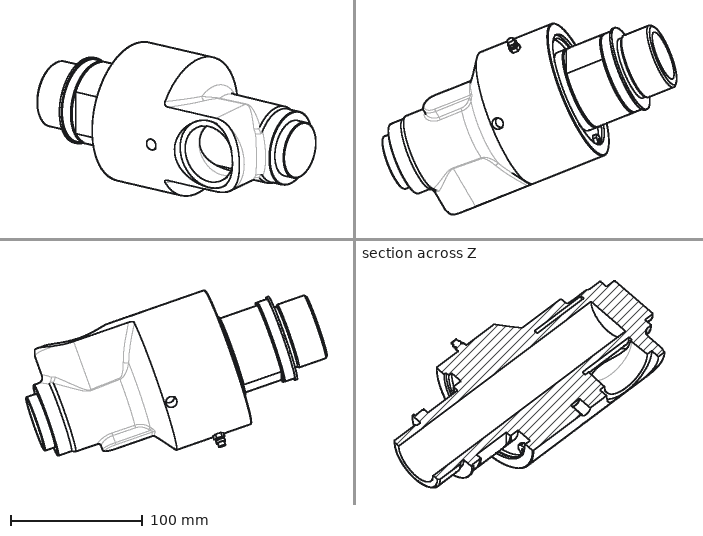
import cadquery as cq
import math

THREAD_DIA = 50.8
THREAD_END = 24.4
THREAD_CHAMFER = 1.5
NECK_DIA = 48.4
FLANGE_DIA = 66.7
FLANGE_START = 27.2
FLANGE_END = 29.0
ROTOR_DIA = 64.0
ROTOR_GROOVES = (37.4, 68.9)
GROOVE_DEPTH = 0.7
FLAT_START = 38.0
FLAT_END = 68.5
FLAT_WIDTH = 54.5
BORE_DIA = 38.1
BORE_DEPTH = 200.0

BODY_DIA = 108.0
BODY_START = 71.4
BODY_END = 131.8
BODY_CHAMFER = 0.6
CONE_SLOPE = math.radians(52.2)
BARREL_START = 156.6
BARREL_START_RADIUS = 30.3
BARREL_END = 204.6
BARREL_END_RADIUS = 29.9
COLLAR_START = 207.5
COLLAR_DIA = 57.2
COLLAR_END = 218.5
COLLAR_CHAMFER = 0.5
CAP_DIA = 43.26
CAP_CHAMFER = 0.6
TOTAL_LENGTH = 226.91

RECESS_DIA = 90.07
RECESS_DEPTH = 5.0
RING_DEPTH = 2.0
RING_INNER_DIA = 87.0
LUG_SIZE = 10.8
LUG_OFFSET_Y = 40.9
LUG_OFFSET_Z = 14.5
LUG_HOLE_DIA = 3.5
LUG_SIDES = 8

BOSS_X = 180.0
BOSS_RADIUS = 29.6
BOSS_FILLET = 5.0
BOSS_RELIEF_ANGLE = 18.0
PORT_X = 175.0
PORT_DIA = 43.26
PORT_MOUTH_DIA = 44.4
THREAD_FLOOR_Y = -29.4
SEAT_DIA = 53.7
SEAT_DEPTH = 7.5
CHAMBER_START = 150.0
CHAMBER_END = 198.0
CHAMBER_DIA = 56.25
CORE_DIA = 50.75

PAD_TOP = 36.9
PAD_RADIUS = 10.4
PAD_START = 140.0
PAD_ROOT_FILLET = 2.0
PAD_EDGE_FILLET = 1.4
SELECTION_MARGIN = 1.0

WEEP_X = 126.6
WEEP_DIA = 8.6
WEEP_DEPTH = 12.0
WEEP_COUNT = 3
NIPPLE_X = 98.5
NIPPLE_TIP = 63.41
NIPPLE_HEX = 8.6
NIPPLE_HEX_TOP = 57.0
NIPPLE_DIA = 5.36
NIPPLE_COLLAR_DIA = 7.0
NIPPLE_COLLAR_START = 58.2
NIPPLE_COLLAR_END = 60.4
NIPPLE_ROOT = 50.0


def x_cylinder(diameter, start, end):
    """Cylinder along the rotor axis between two X positions."""
    return cq.Workplane("YZ").workplane(offset=start).circle(diameter / 2).extrude(end - start)


def y_cylinder(diameter, x, start, end):
    """Cylinder along Y at the given X, between two Y positions."""
    plane = cq.Plane(origin=(x, start, 0), xDir=(1, 0, 0), normal=(0, 1, 0))
    return cq.Workplane(plane).circle(diameter / 2).extrude(end - start)


def flat_sided_prism(start, radius, end_x, depth):
    """Slab along X with one round end, reaching the given depth toward -Y (or +Y if negative)."""
    return (
        cq.Workplane("XZ")
        .moveTo(start, radius)
        .lineTo(end_x, radius)
        .threePointArc((end_x + radius, 0), (end_x, -radius))
        .lineTo(start, -radius)
        .close()
        .extrude(depth)
    )


def rotor():
    """Threaded nose, flange and wrench section."""
    thread = x_cylinder(THREAD_DIA, 0, THREAD_END).edges().chamfer(THREAD_CHAMFER)
    neck = x_cylinder(NECK_DIA, THREAD_END - THREAD_CHAMFER, FLANGE_START)
    flange = x_cylinder(FLANGE_DIA, FLANGE_START, FLANGE_END)
    shaft = x_cylinder(ROTOR_DIA, FLANGE_END, BODY_START + RECESS_DEPTH)
    for x in ROTOR_GROOVES:
        groove = (
            cq.Workplane("XY")
            .moveTo(x - GROOVE_DEPTH, ROTOR_DIA / 2)
            .lineTo(x, ROTOR_DIA / 2 - GROOVE_DEPTH)
            .lineTo(x + GROOVE_DEPTH, ROTOR_DIA / 2)
            .close()
            .revolve(360, (0, 0, 0), (1, 0, 0))
        )
        shaft = shaft.cut(groove)
    flat_length = FLAT_END - FLAT_START
    flat_x = (FLAT_START + FLAT_END) / 2
    cut_depth = (ROTOR_DIA - FLAT_WIDTH) / 2
    for side in (1, -1):
        flat_y = side * (FLAT_WIDTH + cut_depth) / 2
        flat = cq.Workplane("XY").box(flat_length, cut_depth, ROTOR_DIA).translate((flat_x, flat_y, 0))
        shaft = shaft.cut(flat)
    return thread.union(neck).union(flange).union(shaft)


def housing():
    """Turned housing: the cone runs into the barrel through a tangent arc."""
    body_radius = BODY_DIA / 2
    drop = body_radius - BARREL_START_RADIUS
    tangent_length = (BARREL_START - BODY_END) - drop / math.tan(CONE_SLOPE)
    blend_radius = tangent_length / math.tan(CONE_SLOPE / 2)
    blend_x = BARREL_START - blend_radius * math.sin(CONE_SLOPE)
    blend_r = BARREL_START_RADIUS + blend_radius * (1 - math.cos(CONE_SLOPE))
    middle_x = BARREL_START - blend_radius * math.sin(CONE_SLOPE / 2)
    middle_r = BARREL_START_RADIUS + blend_radius * (1 - math.cos(CONE_SLOPE / 2))
    collar_radius = COLLAR_DIA / 2
    cap_radius = CAP_DIA / 2
    return (
        cq.Workplane("XY")
        .moveTo(BODY_START, 0)
        .lineTo(BODY_START, body_radius - BODY_CHAMFER)
        .lineTo(BODY_START + BODY_CHAMFER, body_radius)
        .lineTo(BODY_END, body_radius)
        .lineTo(blend_x, blend_r)
        .threePointArc((middle_x, middle_r), (BARREL_START, BARREL_START_RADIUS))
        .lineTo(BARREL_END, BARREL_END_RADIUS)
        .lineTo(COLLAR_START, collar_radius)
        .lineTo(COLLAR_END - COLLAR_CHAMFER, collar_radius)
        .lineTo(COLLAR_END, collar_radius - COLLAR_CHAMFER)
        .lineTo(COLLAR_END, cap_radius)
        .lineTo(TOTAL_LENGTH - CAP_CHAMFER, cap_radius)
        .lineTo(TOTAL_LENGTH, cap_radius - CAP_CHAMFER)
        .lineTo(TOTAL_LENGTH, 0)
        .close()
        .revolve(360, (0, 0, 0), (1, 0, 0))
    )


def port_boss():
    """Flat-sided boss with a round end, trimmed to the body diameter and relieved near the port."""
    body_radius = BODY_DIA / 2
    boss = flat_sided_prism(BODY_END, BOSS_RADIUS, BOSS_X, BODY_DIA)
    boss = boss.intersect(x_cylinder(BODY_DIA, BODY_END, BOSS_X + 2 * BOSS_RADIUS))
    hinge_y = -math.sqrt(body_radius**2 - BOSS_RADIUS**2)
    relief = flat_sided_prism(0, BOSS_RADIUS, BOSS_X, 2 * BODY_DIA).translate((0, BODY_DIA, 0))
    relief = relief.rotate((BOSS_X, hinge_y, 0), (BOSS_X, hinge_y, 1), -BOSS_RELIEF_ANGLE)
    return boss.intersect(relief)


def pad():
    """Round-ended pad with a rounded rim, growing out of the cone."""
    block = flat_sided_prism(PAD_START, PAD_RADIUS, PORT_X, -PAD_TOP)
    return block.faces(">Y").edges("not <X").fillet(PAD_EDGE_FILLET)


def casting():
    """Housing with the port boss and the pad blended in."""
    along_y = cq.selectors.ParallelDirSelector(cq.Vector(0, 1, 0))
    boss_roots = cq.selectors.BoxSelector(
        (BODY_END, -BODY_DIA * 0.4, -BODY_DIA / 2),
        (COLLAR_END, -PAD_RADIUS / 2, BODY_DIA / 2),
    )
    body = housing().union(port_boss())
    body = body.edges(boss_roots - along_y).fillet(BOSS_FILLET)
    body = body.union(pad())
    half_width = PAD_RADIUS + SELECTION_MARGIN
    pad_roots = cq.selectors.BoxSelector(
        (BODY_END, BARREL_START_RADIUS * 0.85, -half_width),
        (PORT_X + half_width, PAD_TOP - PAD_EDGE_FILLET - SELECTION_MARGIN / 5, half_width),
    )
    along_x = cq.selectors.ParallelDirSelector(cq.Vector(1, 0, 0))
    return body.edges(pad_roots - along_y - along_x).fillet(PAD_ROOT_FILLET)


def retaining_ring():
    """Eccentric ring with two pierced lugs, touching the recess wall at -Y."""
    start = BODY_START + RING_DEPTH
    end = BODY_START + RECESS_DEPTH
    eccentricity = (RECESS_DIA - RING_INNER_DIA) / 2
    opening = x_cylinder(RING_INNER_DIA, start, end).translate((0, -eccentricity, 0))
    ring = x_cylinder(RECESS_DIA, start, end).cut(opening)
    half_step = 180 / LUG_SIDES
    corner_dia = LUG_SIZE / math.cos(math.radians(half_step))
    envelope = x_cylinder(RECESS_DIA, start, end)
    for side in (1, -1):
        lug_z = side * LUG_OFFSET_Z
        lug = cq.Workplane("YZ", origin=(start, 0, 0)).polygon(LUG_SIDES, corner_dia).extrude(end - start)
        lug = lug.rotate((0, 0, 0), (1, 0, 0), half_step).translate((0, -LUG_OFFSET_Y, lug_z))
        hole = x_cylinder(LUG_HOLE_DIA, start, end).translate((0, -LUG_OFFSET_Y, lug_z))
        ring = ring.union(lug.intersect(envelope)).cut(hole)
    return ring


def port_cut():
    """Seat and tapered port bore opening into the annular chamber around the core."""
    seat_floor = SEAT_DEPTH - BODY_DIA / 2
    seat = y_cylinder(SEAT_DIA, PORT_X, -BODY_DIA, seat_floor)
    bore = y_cylinder(PORT_DIA, PORT_X, seat_floor, 0)
    taper = (
        cq.Workplane("XY")
        .moveTo(PORT_X, seat_floor)
        .lineTo(PORT_X + PORT_MOUTH_DIA / 2, seat_floor)
        .lineTo(PORT_X + PORT_DIA / 2, THREAD_FLOOR_Y)
        .lineTo(PORT_X, THREAD_FLOOR_Y)
        .close()
        .revolve(360, (PORT_X, 0, 0), (PORT_X, 1, 0))
    )
    core = x_cylinder(CORE_DIA, 0, TOTAL_LENGTH)
    chamber = x_cylinder(CHAMBER_DIA, CHAMBER_START, CHAMBER_END)
    return seat.union(bore.union(taper).union(chamber).cut(core))


def weep_holes():
    """Blind radial holes, evenly spaced starting at -Y."""
    hole = y_cylinder(WEEP_DIA, WEEP_X, -BODY_DIA, WEEP_DEPTH - BODY_DIA / 2)
    holes = hole
    for i in range(1, WEEP_COUNT):
        holes = holes.union(hole.rotate((0, 0, 0), (1, 0, 0), i * 360 / WEEP_COUNT))
    return holes


def grease_nipple():
    """Hex base, stem and collar standing on the +Y side."""
    plane = cq.Plane(origin=(NIPPLE_X, NIPPLE_ROOT, 0), xDir=(1, 0, 0), normal=(0, 1, 0))
    base = cq.Workplane(plane).polygon(6, NIPPLE_HEX).extrude(NIPPLE_HEX_TOP - NIPPLE_ROOT)
    stem = y_cylinder(NIPPLE_DIA, NIPPLE_X, NIPPLE_ROOT, NIPPLE_TIP)
    collar = y_cylinder(NIPPLE_COLLAR_DIA, NIPPLE_X, NIPPLE_COLLAR_START, NIPPLE_COLLAR_END)
    return base.union(stem).union(collar)


body = casting()
body = body.cut(x_cylinder(RECESS_DIA, BODY_START, BODY_START + RECESS_DEPTH))
body = body.union(retaining_ring()).union(rotor())
body = body.cut(port_cut()).cut(weep_holes())
body = body.cut(x_cylinder(BORE_DIA, 0, BORE_DEPTH))
result = body.union(grease_nipple())